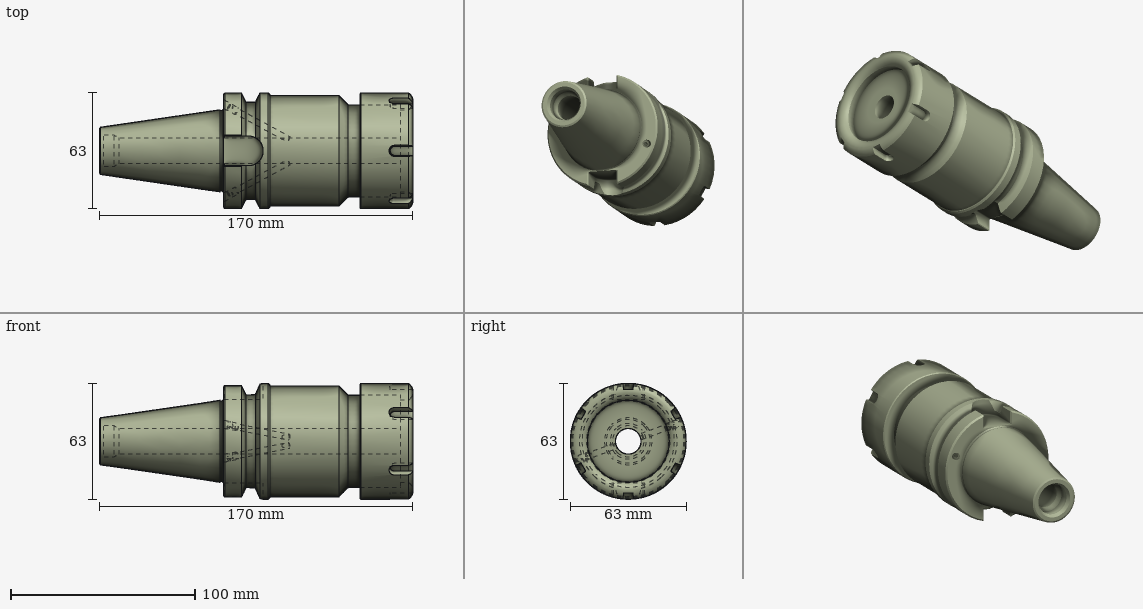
import cadquery as cq
import math


length = 170.0
flange_diameter = 63.0
flange_radius = flange_diameter / 2

taper_ratio = 7 / 24
taper_end = 65.3
shank_radius = 22.3
small_end_radius = shank_radius - taper_ratio * taper_end / 2
shank_chamfer_length = 0.5
shank_chamfer_height = 0.9
relief_radius = 22.0
relief_bevel = 0.7

flange_start = 67.2
flange_end = 92.3
flange_chamfer = 0.9
groove_center = 82.0
groove_floor_width = 5.1
groove_mouth_width = 10.2
groove_diameter = 52.9
groove_radius = groove_diameter / 2
groove_half_floor = groove_floor_width / 2
groove_half_mouth = groove_mouth_width / 2

body_radius = 30.1
body_end = 129.7
neck_diameter = 50.0
neck_radius = neck_diameter / 2
neck_start = body_end + body_radius - neck_radius
nose_end = 163.2

bore_diameter = 13.8
counterbore_diameter = 17.0
counterbore_depth = 7.8
step_angle = 30.0
mouth_diameter = 19.4
mouth_cone_length = 2.0

key_width = 16.2
key_radius = key_width / 2
key_floor = 22.6
key_end = 88.8
key_floor_fillet = 0.7
key_mouth_chamfer = 0.7
key_edge_chamfer = 0.5

coolant_circle_radius = 27.0
coolant_angle = 20.0
screw_angles = [coolant_angle - 90, coolant_angle + 90]
coolant_slope = 30.0
coolant_mouth_diameter = 4.3
coolant_mouth_depth = 3.4
passage_diameter = 3.2
passage_length = 40.8
screw_diameter = 4.0
screw_length = 5.0
socket_width = 2.0
socket_depth = 2.0

nut_start = 141.3
nut_rear_chamfer = 0.5
nut_rim_radius = 26.9
nut_rim_length = 2.5

slot_count = 6
slot_floor_width = 5.0
slot_draft = 10.0
slot_floor_start = 157.6
slot_floor = 28.0


def turned(profile):
    """Solid of revolution about X from a list of (x, radius) points."""
    return cq.Workplane("XY").polyline(profile).close().revolve(360, (0, 0, 0), (1, 0, 0))


def bar(start, end, diameter):
    """Round bar along X between two positions."""
    return cq.Workplane("YZ").workplane(offset=start).circle(diameter / 2).extrude(end - start)


def around_axis(shape, angle):
    return shape.rotate((0, 0, 0), (1, 0, 0), angle)


def along_coolant_hole(shape, side_angle):
    """Move a shape built along +X from the origin onto a coolant hole; it slopes in to the axis."""
    sloped = shape.rotate((0, 0, 0), (0, 1, 0), coolant_slope)
    return around_axis(sloped.translate((flange_start, 0, coolant_circle_radius)), side_angle)


def keyway_cutter():
    """Round-ended slot with filleted floor edges and chamfers on its front and outer edges."""
    straight_start = flange_start - key_width
    outline = (
        cq.Workplane("XY")
        .workplane(offset=key_floor)
        .moveTo(straight_start, -key_radius)
        .lineTo(key_end - key_radius, -key_radius)
        .threePointArc((key_end, 0), (key_end - key_radius, key_radius))
        .lineTo(straight_start, key_radius)
        .close()
    )
    slot = outline.extrude(flange_diameter - key_floor).faces("<Z").edges().fillet(key_floor_fillet)
    mouth = (
        cq.Workplane("XY")
        .workplane(offset=key_floor)
        .moveTo(flange_start, -key_radius - key_mouth_chamfer)
        .lineTo(flange_start + key_mouth_chamfer, -key_radius)
        .lineTo(flange_start + key_mouth_chamfer, key_radius)
        .lineTo(flange_start, key_radius + key_mouth_chamfer)
        .close()
        .extrude(flange_diameter - key_floor)
    )
    edge_height = math.sqrt(flange_radius**2 - key_radius**2)
    edges = (
        cq.Workplane("YZ")
        .workplane(offset=flange_start)
        .moveTo(-key_radius, edge_height - key_edge_chamfer)
        .lineTo(-key_radius - 2 * key_edge_chamfer, edge_height + key_edge_chamfer)
        .lineTo(key_radius + 2 * key_edge_chamfer, edge_height + key_edge_chamfer)
        .lineTo(key_radius, edge_height - key_edge_chamfer)
        .close()
        .extrude(groove_center - flange_start)
    )
    return slot.union(mouth).union(edges)


def screw_blank():
    """Cylinder of a set screw, also used to cut the seat it fills."""
    return bar(coolant_mouth_depth, coolant_mouth_depth + screw_length, screw_diameter)


def make_holder():
    """Shank, flange, body and neck turned as one, with keyways and coolant holes cut in."""
    bore_radius = bore_diameter / 2
    counterbore_radius = counterbore_diameter / 2
    step_length = (counterbore_radius - bore_radius) / math.tan(math.radians(step_angle))
    body = turned([
        (0, mouth_diameter / 2),
        (0, small_end_radius - shank_chamfer_height),
        (shank_chamfer_length, small_end_radius + taper_ratio * shank_chamfer_length / 2),
        (taper_end, shank_radius),
        (taper_end, relief_radius),
        (flange_start - relief_bevel, relief_radius),
        (flange_start, relief_radius + relief_bevel),
        (flange_start, flange_radius - flange_chamfer),
        (flange_start + flange_chamfer, flange_radius),
        (groove_center - groove_half_mouth, flange_radius),
        (groove_center - groove_half_floor, groove_radius),
        (groove_center + groove_half_floor, groove_radius),
        (groove_center + groove_half_mouth, flange_radius),
        (flange_end - flange_chamfer, flange_radius),
        (flange_end, flange_radius - flange_chamfer),
        (flange_end, body_radius),
        (body_end, body_radius),
        (neck_start, neck_radius),
        (nose_end, neck_radius),
        (nose_end, bore_radius),
        (counterbore_depth + step_length, bore_radius),
        (counterbore_depth, counterbore_radius),
        (mouth_cone_length, counterbore_radius),
    ])
    for side in (0, 180):
        body = body.cut(around_axis(keyway_cutter(), side))
    coolant_mouth = bar(-coolant_mouth_depth, coolant_mouth_depth, coolant_mouth_diameter)
    coolant_passage = bar(0, passage_length, passage_diameter)
    coolant_hole = coolant_mouth.union(screw_blank()).union(coolant_passage)
    for angle in screw_angles:
        body = body.cut(along_coolant_hole(coolant_hole, angle))
    return body


def make_set_screw(angle):
    """Set screw with a hexagon socket seated below the mouth of a coolant hole."""
    socket = (
        cq.Workplane("YZ")
        .workplane(offset=coolant_mouth_depth)
        .polygon(6, socket_width, circumscribed=True)
        .extrude(socket_depth)
    )
    return along_coolant_hole(screw_blank().cut(socket), angle)


def wrench_slot_cutter():
    """Slot open at the nut face, with a round end and walls that open outward."""
    slot_radius = slot_floor_width / 2
    center = slot_floor_start + slot_radius
    open_end = length + slot_floor_width
    outline = (
        cq.Workplane("XY")
        .workplane(offset=slot_floor)
        .moveTo(open_end, -slot_radius)
        .lineTo(center, -slot_radius)
        .threePointArc((slot_floor_start, 0), (center, slot_radius))
        .lineTo(open_end, slot_radius)
        .close()
    )
    return outline.extrude(flange_radius - slot_floor + slot_floor_width, taper=-slot_draft)


def make_nut():
    """Ring on the neck, with a rounded front rim and an inward lip ahead of the nose."""
    rim_start = length - nut_rim_length
    opening_radius = 2 * nut_rim_radius - flange_radius
    profile = (
        cq.Workplane("XY")
        .moveTo(nut_start, neck_radius)
        .lineTo(nut_start, flange_radius - nut_rear_chamfer)
        .lineTo(nut_start + nut_rear_chamfer, flange_radius)
        .lineTo(rim_start, flange_radius)
        .threePointArc((length, nut_rim_radius), (rim_start, opening_radius))
        .lineTo(nose_end, opening_radius)
        .lineTo(nose_end, neck_radius)
        .close()
    )
    nut = profile.revolve(360, (0, 0, 0), (1, 0, 0))
    for index in range(slot_count):
        nut = nut.cut(around_axis(wrench_slot_cutter(), index * 360 / slot_count))
    return nut


holder = make_holder()
nut = make_nut()
set_screws = [make_set_screw(angle) for angle in screw_angles]

result = cq.Compound.makeCompound([
    holder.val(),
    nut.val(),
    *[screw.val() for screw in set_screws],
])